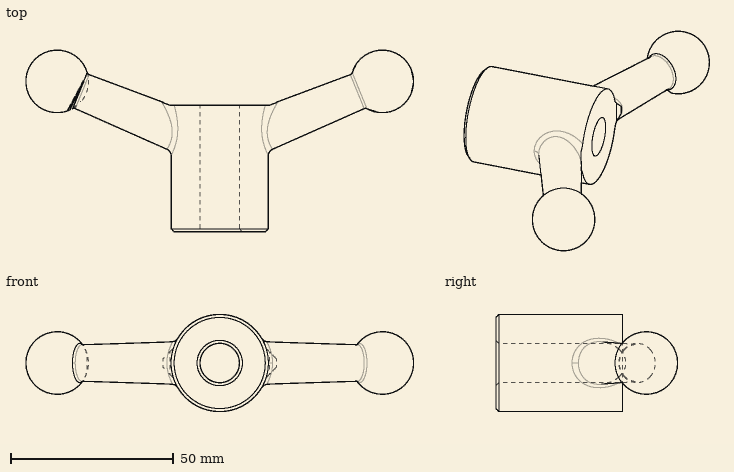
import cadquery as cq
import math

span = 119.4
depth = 56.0
hub_diameter = 30.0
hub_length = 39.0
hub_chamfer = 1.0
bore_diameter = 12.0
bore_chamfer = 1.0

ball_diameter = 19.3
arm_angle = 22.2
arm_root_diameter = 14.1
arm_tip_diameter = 10.9
root_fillet = 2.1
ball_fillet = 1.0
trim_overlap = 0.1

hub_radius = hub_diameter / 2
ball_radius = ball_diameter / 2
ball_x = span / 2 - ball_radius
ball_y = depth - ball_radius
arm_length = ball_x / math.cos(math.radians(arm_angle))
axis_y = ball_y - ball_x * math.tan(math.radians(arm_angle))

hub_blank_length = hub_length + hub_radius

taper_angle = math.atan((arm_root_diameter - arm_tip_diameter) / 2 / arm_length)
back_edge_angle = math.radians(arm_angle) - taper_angle
back_edge_offset = arm_root_diameter / 2 * math.cos(taper_angle) / math.cos(back_edge_angle)
back_edge_start_y = axis_y + back_edge_offset - trim_overlap


def hub_cylinder(length):
    """Plain cylinder running along +Y from the front face."""
    return cq.Workplane("XZ").circle(hub_radius).extrude(-length)


def arm(side):
    """Tapered arm from the hub axis to its ball centre; side is -1 or 1."""
    angle = math.radians(arm_angle)
    direction = cq.Vector(side * math.cos(angle), math.sin(angle), 0)
    rod = cq.Solid.makeCone(
        arm_root_diameter / 2,
        arm_tip_diameter / 2,
        arm_length,
        pnt=cq.Vector(0, axis_y, 0),
        dir=direction,
    )
    return cq.Workplane(obj=rod)


def ball(side):
    """Ball at the end of an arm."""
    return cq.Workplane("XY").sphere(ball_radius).translate((side * ball_x, ball_y, 0))


def in_band(x_min, x_max):
    """Selector for edges behind the front face whose centres lie in an X band on either side."""
    y_min = hub_chamfer
    y_max = 2 * depth
    right = cq.selectors.BoxSelector((x_min, y_min, -span), (x_max, y_max, span))
    left = cq.selectors.BoxSelector((-x_max, y_min, -span), (-x_min, y_max, span))
    return right + left


body = hub_cylinder(hub_blank_length).union(arm(-1)).union(arm(1))
body = body.edges(in_band(hub_radius - root_fillet, hub_radius + root_fillet)).fillet(root_fillet)
body = body.union(ball(-1)).union(ball(1))
body = body.edges(in_band(ball_x - ball_radius, ball_x - ball_radius / 2)).fillet(ball_fillet)

trim_bottom_x = (hub_length - back_edge_start_y) / math.tan(back_edge_angle)
trim_top_x = trim_bottom_x + root_fillet
trim_slope_end_y = back_edge_start_y + trim_top_x * math.tan(back_edge_angle)
trim_top_y = hub_blank_length + hub_radius
trim = (
    cq.Workplane("XY")
    .moveTo(-trim_bottom_x, hub_length)
    .lineTo(trim_bottom_x, hub_length)
    .lineTo(trim_top_x, trim_slope_end_y)
    .lineTo(trim_top_x, trim_top_y)
    .lineTo(-trim_top_x, trim_top_y)
    .lineTo(-trim_top_x, trim_slope_end_y)
    .close()
    .extrude(hub_diameter, both=True)
)
body = body.cut(trim)

body = body.faces("<Y").chamfer(hub_chamfer)
bore = cq.Workplane("XZ").circle(bore_diameter / 2).extrude(-hub_length)
body = body.cut(bore)
bore_rim = cq.selectors.RadiusNthSelector(0)
result = body.faces("<Y").edges(bore_rim).chamfer(bore_chamfer)